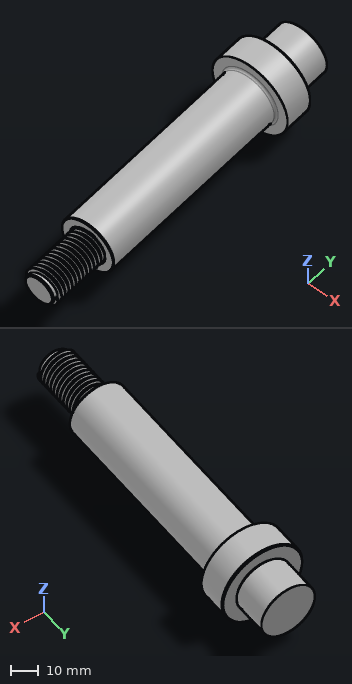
import cadquery as cq


shank_length = 90.1
shank_radius = 25.0 / 2
shank_end_chamfer = 0.3
shank_root_fillet = 1.0
collar_length = 13.0
collar_radius = 36.0 / 2
collar_back_chamfer = 0.5
bore_radius = 17.0 / 2

head_length = 15.9
head_radius = 24.0 / 2
head_seat_chamfer = 0.5
exposed_thread_length = 27.0
core_radius = 13.6 / 2
tip_chamfer = 0.5

thread_radius = 16.2 / 2
exposed_turns = 13
exposed_turns_length = 26.0
hidden_turns = 7
thread_root_width = 1.5
thread_crest_width = 0.3
thread_end_gap = 1.3
root_embed = 0.1

thread_pitch = exposed_turns_length / exposed_turns
thread_turns = exposed_turns + hidden_turns

flank_slope = (thread_root_width - thread_crest_width) / (thread_radius - core_radius)
embedded_radius = core_radius - root_embed
embedded_width = thread_root_width + flank_slope * root_embed

collar_front_y = shank_length
head_seat_y = collar_front_y + collar_length
head_end_y = head_seat_y + head_length
tip_y = -exposed_thread_length
thread_start_y = tip_y + thread_end_gap
shoulder_y = thread_start_y + thread_pitch * thread_turns + thread_end_gap


def revolve_about_y(profile):
    """Turn a closed (Y, radius) profile into a solid of revolution around the Y axis."""
    return profile.revolve(360, (0, 0), (1, 0))


def make_sleeve():
    """Plain shank with a collar at its +Y end and a clearance bore right through."""
    profile = (
        cq.Workplane("YZ")
        .moveTo(0, bore_radius)
        .lineTo(0, shank_radius - shank_end_chamfer)
        .lineTo(shank_end_chamfer, shank_radius)
        .lineTo(collar_front_y - shank_root_fillet, shank_radius)
        .radiusArc((collar_front_y, shank_radius + shank_root_fillet), -shank_root_fillet)
        .lineTo(collar_front_y, collar_radius)
        .lineTo(head_seat_y - collar_back_chamfer, collar_radius)
        .lineTo(head_seat_y, collar_radius - collar_back_chamfer)
        .lineTo(head_seat_y, bore_radius)
        .close()
    )
    return revolve_about_y(profile)


def make_screw_blank():
    """Threaded core, full-size plain shank and cylindrical head that seats on the collar."""
    profile = (
        cq.Workplane("YZ")
        .moveTo(tip_y, 0)
        .lineTo(tip_y, core_radius - tip_chamfer)
        .lineTo(tip_y + tip_chamfer, core_radius)
        .lineTo(shoulder_y, core_radius)
        .lineTo(shoulder_y, thread_radius)
        .lineTo(head_seat_y, thread_radius)
        .lineTo(head_seat_y, head_radius - head_seat_chamfer)
        .lineTo(head_seat_y + head_seat_chamfer, head_radius)
        .lineTo(head_end_y, head_radius)
        .lineTo(head_end_y, 0)
        .close()
    )
    return revolve_about_y(profile)


def make_thread_ridge():
    """Helical ridge, wound up Z and then laid along Y with its free end near the screw tip."""
    helix = cq.Wire.makeHelix(thread_pitch, thread_pitch * thread_turns, embedded_radius)
    ridge = (
        cq.Workplane("XZ")
        .moveTo(embedded_radius, -embedded_width / 2)
        .lineTo(thread_radius, -thread_crest_width / 2)
        .lineTo(thread_radius, thread_crest_width / 2)
        .lineTo(embedded_radius, embedded_width / 2)
        .close()
        .sweep(cq.Workplane(helix), isFrenet=True)
    )
    return ridge.rotate((0, 0, 0), (1, 0, 0), -90).translate((0, thread_start_y, 0))


def make_screw():
    """Screw blank and thread ridge joined into one solid."""
    return make_screw_blank().union(make_thread_ridge())


sleeve = make_sleeve()
screw = make_screw()
result = cq.Compound.makeCompound([sleeve.val(), *screw.solids().vals()])